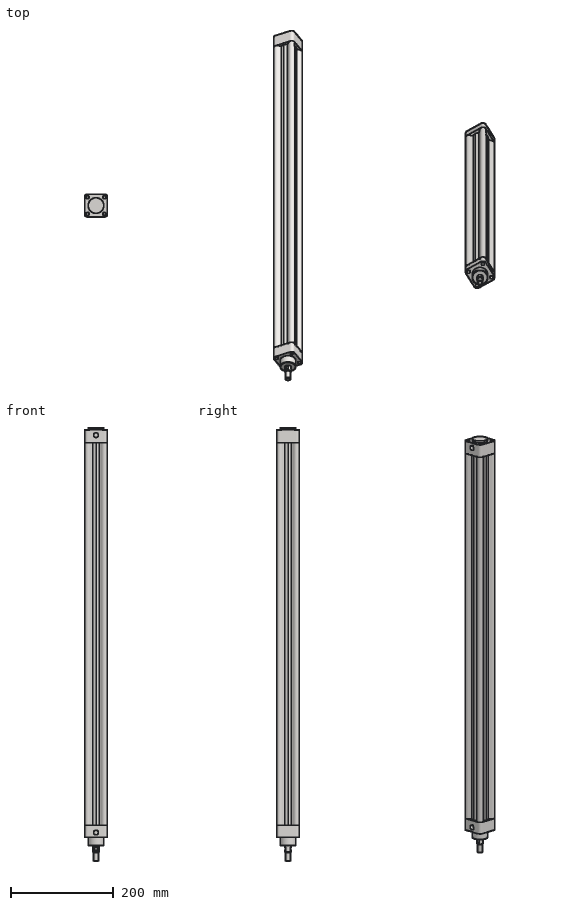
import cadquery as cq
import math

TOTAL_LENGTH = 844.0
WIDTH = 45.0
LOBE_RADIUS = 6.1
BOSS_HEIGHT = 4.0
REAR_CAP_LENGTH = 25.0
FRONT_CAP_LENGTH = 24.0
FRONT_FACE_Z = 46.0
COLLAR_LENGTH = 16.0

REAR_FACE_Z = TOTAL_LENGTH - BOSS_HEIGHT
BARREL_TOP_Z = REAR_FACE_Z - REAR_CAP_LENGTH
BARREL_BOTTOM_Z = FRONT_FACE_Z + FRONT_CAP_LENGTH
COLLAR_END_Z = FRONT_FACE_Z - COLLAR_LENGTH

CORNER_RADIUS = 6.3
BOSS_DIAMETER = 30.0
COLLAR_CHAMFER = 1.0
SCREW_OFFSET = WIDTH / 2 - LOBE_RADIUS
SCREW_HOLE_DIAMETER = 6.0
SCREW_HOLE_DEPTH = 16.0
PORT_DIAMETER = 9.0
PORT_DEPTH = 8.5
REAR_PORT_DROP = 10.0
FRONT_PORT_RISE = 9.0

RIDGE_HEIGHT = 18.0
FLANK_SLOPE = 16.4
VALLEY_OFFSET = 6.3
VALLEY_WALL_WIDTH = 2.5
WALL_BREAK_OFFSET = VALLEY_OFFSET + VALLEY_WALL_WIDTH

ROD_DIAMETER = 12.0
THREAD_DIAMETER = 10.0
THREAD_LENGTH = 17.0
TIP_CHAMFER = 1.3
SHOULDER_HEIGHT = 2.0
FLAT_DEPTH = 0.7
FLATS_WIDTH = ROD_DIAMETER - 2 * FLAT_DEPTH
FLATS_BOTTOM_Z = 21.0
FLATS_TOP_Z = 27.0


def cap_block(bottom_z, length):
    """Square cap with rounded vertical corners."""
    return (
        cq.Workplane("XY", origin=(0, 0, bottom_z))
        .rect(WIDTH, WIDTH)
        .extrude(length)
        .edges("|Z")
        .fillet(CORNER_RADIUS)
    )


def screw_holes(face_z, depth):
    """Four corner holes starting at face_z; a negative depth runs downwards."""
    pitch = 2 * SCREW_OFFSET
    return (
        cq.Workplane("XY", origin=(0, 0, face_z))
        .rect(pitch, pitch, forConstruction=True)
        .vertices()
        .circle(SCREW_HOLE_DIAMETER / 2)
        .extrude(depth)
    )


def port(center_z):
    """Blind air port sunk into the -Y side."""
    return (
        cq.Workplane("XZ", origin=(0, -WIDTH / 2, center_z))
        .circle(PORT_DIAMETER / 2)
        .extrude(-PORT_DEPTH)
    )


def make_rear_cap():
    boss = (
        cq.Workplane("XY", origin=(0, 0, REAR_FACE_Z))
        .circle(BOSS_DIAMETER / 2)
        .extrude(BOSS_HEIGHT)
    )
    return (
        cap_block(BARREL_TOP_Z, REAR_CAP_LENGTH)
        .union(boss)
        .cut(screw_holes(REAR_FACE_Z, -SCREW_HOLE_DEPTH))
        .cut(port(REAR_FACE_Z - REAR_PORT_DROP))
    )


def make_front_cap():
    collar = (
        cq.Workplane("XY", origin=(0, 0, COLLAR_END_Z))
        .circle(BOSS_DIAMETER / 2)
        .extrude(COLLAR_LENGTH)
        .faces("<Z")
        .chamfer(COLLAR_CHAMFER)
    )
    rod_bore = (
        cq.Workplane("XY", origin=(0, 0, COLLAR_END_Z))
        .circle(ROD_DIAMETER / 2)
        .extrude(BARREL_BOTTOM_Z - COLLAR_END_Z)
    )
    return (
        cap_block(FRONT_FACE_Z, FRONT_CAP_LENGTH)
        .union(collar)
        .cut(rod_bore)
        .cut(screw_holes(FRONT_FACE_Z, SCREW_HOLE_DEPTH))
        .cut(port(FRONT_FACE_Z + FRONT_PORT_RISE))
    )


def quarter_turned(point, quarter_turns):
    """Point turned clockwise about the axis by whole quarter turns."""
    x, y = point
    for _ in range(quarter_turns):
        x, y = y, -x
    return (x, y)


def make_barrel():
    ridge = (0, RIDGE_HEIGHT)
    flank_drop = VALLEY_OFFSET * math.tan(math.radians(FLANK_SLOPE))
    valley_floor = (VALLEY_OFFSET, RIDGE_HEIGHT - flank_drop)
    lobe_reach = LOBE_RADIUS / math.sqrt(2)
    lobe_start = (SCREW_OFFSET - lobe_reach, SCREW_OFFSET + lobe_reach)
    lobe_middle = (SCREW_OFFSET + lobe_reach, SCREW_OFFSET + lobe_reach)
    wall_break = (WALL_BREAK_OFFSET, lobe_start[1] - (lobe_start[0] - WALL_BREAK_OFFSET))

    lobe_end = lobe_start[::-1]
    next_wall_break = wall_break[::-1]
    next_valley_floor = valley_floor[::-1]

    outline = cq.Workplane("XY", origin=(0, 0, BARREL_BOTTOM_Z)).moveTo(*next_valley_floor)
    for turn in range(1, 5):
        for point in (ridge, valley_floor, wall_break, lobe_start):
            outline = outline.lineTo(*quarter_turned(point, turn))
        outline = outline.threePointArc(
            quarter_turned(lobe_middle, turn),
            quarter_turned(lobe_end, turn),
        )
        outline = outline.lineTo(*quarter_turned(next_wall_break, turn))
        outline = outline.lineTo(*quarter_turned(next_valley_floor, turn))
    return outline.close().extrude(BARREL_TOP_Z - BARREL_BOTTOM_Z)


def make_rod():
    """Rod with a conical shoulder, a chamfered thread and two wrench flats facing -Y and +Y."""
    rod_radius = ROD_DIAMETER / 2
    thread_radius = THREAD_DIAMETER / 2
    turned_profile = [
        (0, 0),
        (thread_radius - TIP_CHAMFER, 0),
        (thread_radius, TIP_CHAMFER),
        (thread_radius, THREAD_LENGTH),
        (rod_radius, THREAD_LENGTH + SHOULDER_HEIGHT),
        (rod_radius, BARREL_BOTTOM_Z),
        (0, BARREL_BOTTOM_Z),
    ]
    shaft = cq.Workplane("XZ").polyline(turned_profile).close().revolve(360, (0, 0), (0, 1))
    cutter_width = 2 * ROD_DIAMETER
    flats = (
        cq.Workplane("XY", origin=(0, 0, FLATS_BOTTOM_Z))
        .rect(cutter_width, cutter_width)
        .rect(cutter_width, FLATS_WIDTH)
        .extrude(FLATS_TOP_Z - FLATS_BOTTOM_Z)
    )
    return shaft.cut(flats)


rear_cap = make_rear_cap()
barrel = make_barrel()
front_cap = make_front_cap()
rod = make_rod()
result = cq.Compound.makeCompound([rear_cap.val(), barrel.val(), front_cap.val(), rod.val()])